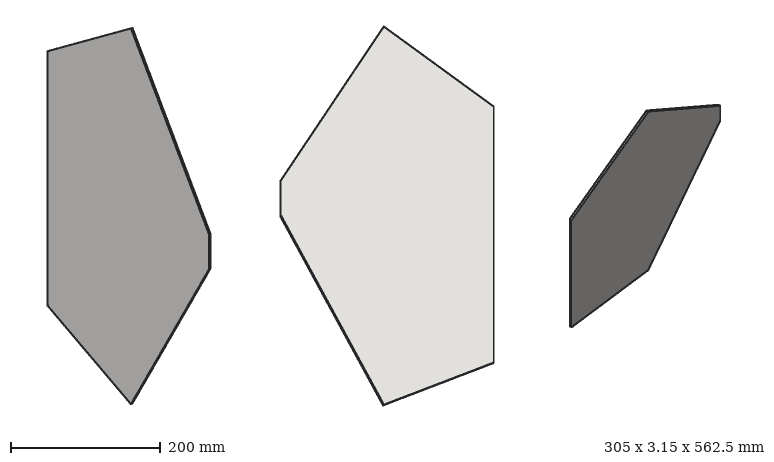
import cadquery as cq
import math

width = 305.0
thickness = 3.15
height = 562.5

apex_offset = 157.5
shallow_angle = math.radians(30)
steep_angle = math.radians(60)

left_x = -width / 2
right_x = width / 2
apex_x = left_x + apex_offset
apex_z = height / 2
left_z = apex_z - apex_offset * math.tan(shallow_angle)
right_z = apex_z - (width - apex_offset) * math.tan(steep_angle)

outline = [
    (left_x, -left_z),
    (apex_x, -apex_z),
    (right_x, -right_z),
    (right_x, right_z),
    (apex_x, apex_z),
    (left_x, left_z),
]
result = cq.Workplane("XZ").polyline(outline).close().extrude(thickness / 2, both=True)